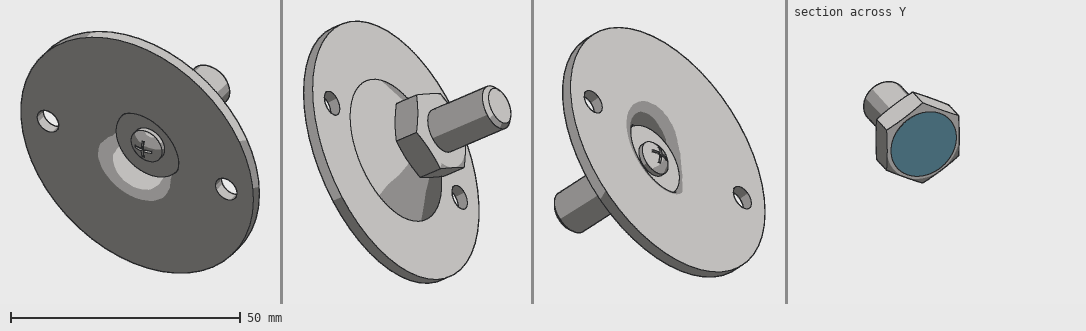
import cadquery as cq
import math

overall_length = 31.0
plate_diameter = 60
plate_thickness = 2.5
mount_hole_diameter = 5.5
mount_hole_offset = 23.0

hub_base_radius = 16.5
hub_top_radius = 8.2
neck_radius = 7.5
hub_top_y = 8.4

recess_mouth_radius = 13.5
recess_depth = 5.0
recess_floor_radius = recess_mouth_radius - recess_depth

nut_across_flats = 17.15
nut_start_y = 8.8
nut_height = 6.25
nut_chamfer = 0.35
stud_diameter = 10.0
stud_chamfer = 0.95

head_radius = 8.0 / 2
head_rim_height = 1.1
head_dome_height = 1.8
cross_length = 4.2
cross_width = 0.55
cross_depth = 0.9


def cylinder_y(radius, start_y, length):
    return cq.Workplane("XZ", origin=(0, start_y, 0)).circle(radius).extrude(-length)


def revolve_about_y(profile):
    return profile.close().revolve(360, (0, 0, 0), (0, 1, 0))


def make_foot():
    body = revolve_about_y(
        cq.Workplane("XY")
        .lineTo(plate_diameter / 2, 0)
        .lineTo(plate_diameter / 2, plate_thickness)
        .lineTo(hub_base_radius, plate_thickness)
        .lineTo(hub_top_radius, hub_top_y)
        .lineTo(neck_radius, nut_start_y)
        .lineTo(0, nut_start_y)
    )
    diagonal = recess_depth * math.sqrt(0.5)
    recess = revolve_about_y(
        cq.Workplane("XY")
        .lineTo(recess_mouth_radius, 0)
        .threePointArc(
            (recess_mouth_radius - diagonal, recess_depth - diagonal),
            (recess_floor_radius, recess_depth),
        )
        .lineTo(0, recess_depth)
    )
    body = body.cut(recess)
    for side in (-1, 1):
        hole = cylinder_y(mount_hole_diameter / 2, 0, plate_thickness)
        body = body.cut(hole.translate((side * mount_hole_offset, 0, 0)))
    return body


def make_nut():
    across_corners = nut_across_flats / math.cos(math.pi / 6)
    hexagon = (
        cq.Workplane("XZ", origin=(0, nut_start_y, 0))
        .transformed(rotate=(0, 0, 90))
        .polygon(6, across_corners)
        .extrude(-nut_height)
    )
    chamfer_width = (across_corners - nut_across_flats) / 2
    turned = (
        cylinder_y(across_corners / 2, nut_start_y, nut_height)
        .faces("<Y or >Y")
        .chamfer(nut_chamfer, chamfer_width)
    )
    return hexagon.intersect(turned)


def make_stud():
    start_y = nut_start_y
    stud = cylinder_y(stud_diameter / 2, start_y, overall_length - start_y)
    return stud.faces(">Y").chamfer(stud_chamfer)


def make_screw_head():
    rim_y = recess_depth - head_rim_height
    crown_y = rim_y - head_dome_height
    dome_radius = (head_radius**2 + head_dome_height**2) / (2 * head_dome_height)
    half_angle = math.asin(head_radius / dome_radius) / 2
    arc_middle = (
        dome_radius * math.sin(half_angle),
        crown_y + dome_radius * (1 - math.cos(half_angle)),
    )
    head = revolve_about_y(
        cq.Workplane("XY")
        .moveTo(0, recess_depth)
        .lineTo(head_radius, recess_depth)
        .lineTo(head_radius, rim_y)
        .threePointArc(arc_middle, (0, crown_y))
    )
    for size_x, size_z in ((cross_length, cross_width), (cross_width, cross_length)):
        slot = cq.Workplane("XY").box(size_x, 2 * cross_depth, size_z)
        head = head.cut(slot.translate((0, crown_y, 0)))
    return head


result = make_foot().union(make_nut()).union(make_stud()).union(make_screw_head())